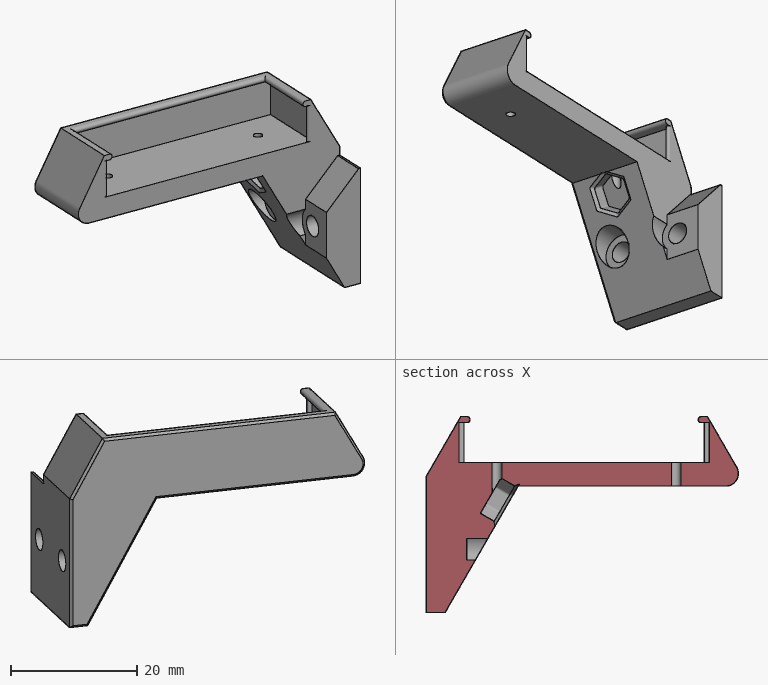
import cadquery as cq
import math

body_width = 13.0
total_width = 19.0
total_height = 31.0
arm_length = 49.4
arm_bottom = 20.0
foot_depth = 3.0
top_back_inset = 5.5
nose_radius = 2.0
side_chamfer = 0.4
slope_angle = math.radians(60)

tab_face_depth = 6.45
tab_slope_start = 13.95
tab_top_depth = tab_face_depth - (arm_bottom - tab_slope_start)
screw_height = 10.05
screw_spacing = 11.0
first_screw_x = 4.0
screw_diameter = 3.5
spotface_diameter = 6.0

rim_left = 1.5
rim_back = 6.45
rim_front = 43.5
undercut = 1.25
tray_left = 1.0
tray_back = rim_back - undercut
tray_front = rim_front + undercut
tray_floor = 23.75
lip_radius = 0.5
rib_radius = 0.37
rib_reach = 0.8

pin_diameter = 1.5
pin_depths = (11.2, 39.55)
pin_x = body_width / 2
nut_flats = 5.7
nut_pocket_depth = 3.0
nut_chamfer = 0.5
nut_corner_radius = 0.45
nut_height = 17.0

slope_ratio = math.tan(slope_angle)
nose_tip = arm_length + nose_radius * (1 / math.tan(slope_angle / 2) - 1)
top_front = nose_tip - (total_height - arm_bottom) / slope_ratio
back_corner_height = total_height - top_back_inset * slope_ratio


def slope_depth(height):
    """Distance of the sloping underside from the back face at a given height."""
    return foot_depth + height / slope_ratio


def side_profile(points, start_x, width):
    """Extrude (depth, height) points along +X; depth runs toward -Y."""
    outline = [(-depth, height) for depth, height in points]
    return cq.Workplane("YZ", origin=(start_x, 0, 0)).polyline(outline).close().extrude(width)


def make_body():
    points = [
        (0, 0),
        (foot_depth, 0),
        (slope_depth(arm_bottom), arm_bottom),
        (nose_tip, arm_bottom),
        (top_front, total_height),
        (top_back_inset, total_height),
        (0, back_corner_height),
    ]
    body = side_profile(points, 0, body_width)
    body = body.edges("|X").edges("<Y").fillet(nose_radius)
    return body.faces("<X").edges().chamfer(side_chamfer)


def make_tab():
    points = [
        (0, 0),
        (foot_depth, 0),
        (tab_face_depth, (tab_face_depth - foot_depth) * slope_ratio),
        (tab_face_depth, tab_slope_start),
        (tab_top_depth, arm_bottom),
        (0, arm_bottom),
    ]
    return side_profile(points, body_width, total_width - body_width)


def tray_box(start_x, front, back, bottom, top):
    """Box spanning the given depths and heights, running out through the +X side."""
    box = cq.Workplane("XY").box(total_width, front - back, top - bottom, centered=False)
    return box.translate((start_x, -front, bottom))


def make_rod(start, direction, length, radius):
    return cq.Workplane(cq.Solid.makeCylinder(radius, length, cq.Vector(*start), cq.Vector(*direction)))


def make_tray():
    """Undercut pocket with a half-round lip on three sides and a round-nosed rib at each open end."""
    lip_bottom = total_height - 2 * lip_radius
    lip_middle = total_height - lip_radius
    rib_middle = body_width - rib_radius
    rib_start = rib_middle - rib_radius
    tray = tray_box(tray_left, tray_front, tray_back, tray_floor, lip_bottom)
    tray = tray.union(tray_box(rim_left, rim_front, rim_back, lip_bottom, total_height))
    tray = tray.cut(make_rod((rim_left, -rim_front, lip_middle), (0, 1, 0), rim_front - rim_back, lip_radius))
    for depth in (rim_back, rim_front):
        tray = tray.cut(make_rod((rim_left, -depth, lip_middle), (1, 0, 0), body_width - rim_left, lip_radius))
    nose_offset = rib_reach - rib_radius
    rib_length = lip_bottom - tray_floor
    for wall, nose in ((tray_back, tray_back + nose_offset), (tray_front, tray_front - nose_offset)):
        tray = tray.cut(tray_box(rib_start, max(wall, nose), min(wall, nose), tray_floor, lip_bottom))
        tray = tray.cut(make_rod((rib_middle, -nose, tray_floor), (0, 0, 1), rib_length, rib_radius))
    return tray


def make_screw_cut(x):
    plane = cq.Plane(origin=(x, -tab_face_depth, screw_height), xDir=(1, 0, 0), normal=(0, -1, 0))
    spotface = cq.Workplane(plane).circle(spotface_diameter / 2).extrude(arm_length)
    hole = cq.Workplane(plane).circle(screw_diameter / 2).extrude(-tab_face_depth)
    return spotface.union(hole)


def make_rounded_hexagon(flats, depth, taper):
    """Hexagonal plug below XY whose side edges are rounded."""
    plug = cq.Workplane("XY").polygon(6, flats / math.cos(math.pi / 6)).extrude(-depth, taper=taper)
    return plug.edges("not #Z").fillet(nut_corner_radius)


def make_nut_pocket():
    """Hexagonal pocket, points up and down the slope, with a chamfered mouth."""
    plane = cq.Plane(
        origin=(pin_x, -slope_depth(nut_height), nut_height),
        xDir=(0, -math.cos(slope_angle), math.sin(slope_angle)),
        normal=(0, -math.sin(slope_angle), -math.cos(slope_angle)),
    )
    pocket = make_rounded_hexagon(nut_flats, nut_pocket_depth, 0)
    mouth = make_rounded_hexagon(nut_flats + 2 * nut_chamfer, nut_chamfer, 45)
    return cq.Workplane(pocket.union(mouth).val().located(plane.location))


def make_pin_hole(depth):
    return (
        cq.Workplane("XY", origin=(pin_x, -depth, nut_height))
        .circle(pin_diameter / 2)
        .extrude(total_height - nut_height)
    )


result = make_body().union(make_tab()).cut(make_tray()).cut(make_nut_pocket())
for screw_x in (first_screw_x, first_screw_x + screw_spacing):
    result = result.cut(make_screw_cut(screw_x))
for pin_depth in pin_depths:
    result = result.cut(make_pin_hole(pin_depth))